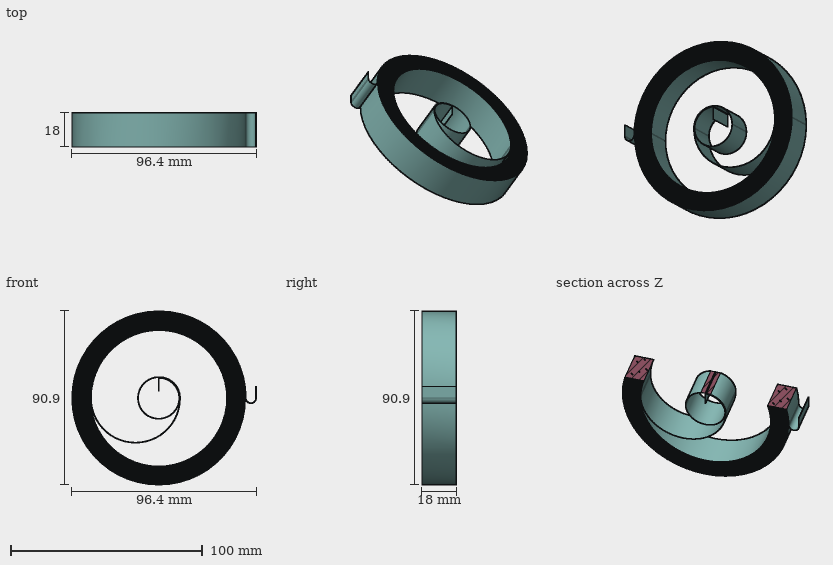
import cadquery as cq
import math


strip_width = 18.0
coil_height = 90.9
overall_length = 96.35
strip_thickness = 0.35
coil_clearance = 0.0029
hub_clearance = 0.048
coil_upper_arcs = 29
hub_radius = 11.1
tongue_tip_height = 3.8
hook_tip_height = 6.2

half_thickness = strip_thickness / 2
coil_pitch = strip_thickness + coil_clearance
hub_pitch = strip_thickness + hub_clearance
coil_radius = (coil_height + coil_pitch - strip_thickness) / 2
coil_left_edge = -(coil_radius - coil_pitch / 2 + half_thickness)
hook_x = coil_left_edge + overall_length - half_thickness


def winding(start_radius, pitch, count):
    """X of successive axis crossings, alternating in side and half a pitch tighter each time."""
    return [(-1) ** i * (start_radius - i * pitch / 2) for i in range(count)]


coil_crossings = winding(coil_radius, coil_pitch, 2 * coil_upper_arcs)
hub_crossings = winding(hub_radius, hub_pitch, 3)
crossings = [hook_x] + coil_crossings + hub_crossings


def strip_face(offset):
    """X crossings of one face of the strip; the strip runs down and up the axis in turn."""
    return [x - (-1) ** i * offset for i, x in enumerate(crossings)]


def half_circle(path, start_x, end_x, above):
    """Add a half circle between two points of the X axis."""
    radius = abs(end_x - start_x) / 2
    top_or_bottom = radius if above else -radius
    return path.threePointArc(((start_x + end_x) / 2, top_or_bottom), (end_x, 0))


def last_quarter_middle(radius):
    """Middle point of the quarter circle that ends at the top of the hub."""
    return (tongue_x + radius * math.sqrt(0.5), radius * math.sqrt(0.5))


outer_face = strip_face(half_thickness)
inner_face = strip_face(-half_thickness)
last = len(crossings) - 1

tongue_x = hub_pitch / 4
last_outer_radius = outer_face[last] - tongue_x
last_inner_radius = inner_face[last] - tongue_x
tongue_left = tongue_x - strip_thickness

profile = cq.Workplane("XZ").moveTo(outer_face[0], hook_tip_height).lineTo(outer_face[0], 0)
for i in range(last):
    profile = half_circle(profile, outer_face[i], outer_face[i + 1], above=i % 2 == 1)

profile = (
    profile.threePointArc(last_quarter_middle(last_outer_radius), (tongue_x, last_outer_radius))
    .lineTo(tongue_left, last_outer_radius)
    .lineTo(tongue_left, tongue_tip_height)
    .lineTo(tongue_x, tongue_tip_height)
    .lineTo(tongue_x, last_inner_radius)
    .threePointArc(last_quarter_middle(last_inner_radius), (inner_face[last], 0))
)

for i in reversed(range(last)):
    profile = half_circle(profile, inner_face[i + 1], inner_face[i], above=i % 2 == 1)
profile = profile.lineTo(inner_face[0], hook_tip_height).close()

result = profile.extrude(strip_width / 2, both=True)